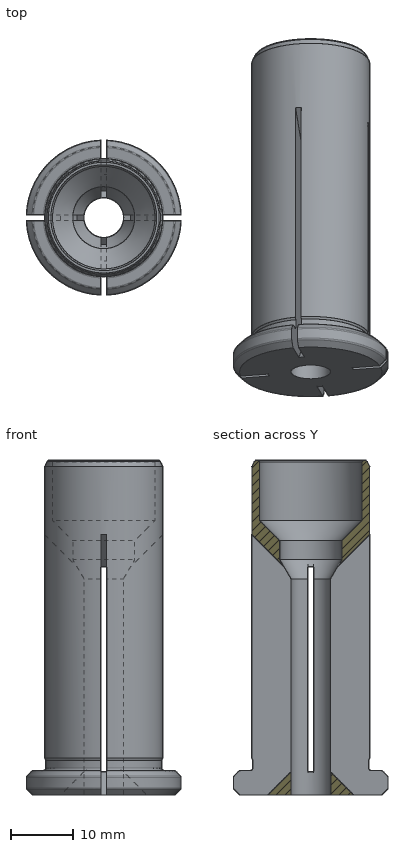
import cadquery as cq
import math

total_height = 54
sleeve_diameter = 19.05
flange_diameter = 25.0

flange_height = 4.0
flange_chamfer = 1.0
flange_edge_radius = 0.4

groove_depth = 0.15
groove_top = 5.6
groove_bevel_height = 0.4
groove_corner = 0.4

lead_height = 1.0
lead_inset = 0.4
rim_bevel = 0.2

bore_diameter = 16.5
bore_bottom = 44.3
bore_chamfer = 0.25
middle_diameter = 10.0
through_diameter = 6.35
upper_cone_angle = 90
lower_cone_angle = 60
lower_cone_top = 37.95

slot_count = 4
slot_width = 0.9
slot_top_at_sleeve = 42.0
slot_bottom_at_hole = 3.8

sleeve_radius = sleeve_diameter / 2
flange_radius = flange_diameter / 2
bore_radius = bore_diameter / 2
middle_radius = middle_diameter / 2
through_radius = through_diameter / 2


def make_body():
    """Flanged sleeve, revolved as a solid without its cavity."""
    groove_radius = sleeve_radius - groove_depth
    lead_radius = sleeve_radius - lead_inset
    arc_inset = groove_corner * (1 - math.sqrt(0.5))
    body = (
        cq.Workplane("XZ")
        .lineTo(flange_radius - flange_chamfer, 0)
        .lineTo(flange_radius, flange_chamfer)
        .lineTo(flange_radius, flange_height - flange_chamfer)
        .lineTo(flange_radius - flange_chamfer, flange_height)
        .lineTo(groove_radius + groove_corner, flange_height)
        .threePointArc(
            (groove_radius + arc_inset, flange_height + arc_inset),
            (groove_radius, flange_height + groove_corner),
        )
        .lineTo(groove_radius, groove_top)
        .lineTo(sleeve_radius, groove_top + groove_bevel_height)
        .lineTo(sleeve_radius, total_height - lead_height)
        .lineTo(lead_radius, total_height - rim_bevel)
        .lineTo(lead_radius - rim_bevel, total_height)
        .lineTo(0, total_height)
        .close()
        .revolve(360, (0, 0), (0, 1))
    )
    rounded_zone = cq.selectors.BoxSelector(
        (-flange_diameter, -flange_diameter, flange_chamfer / 2),
        (flange_diameter, flange_diameter, flange_height + groove_corner / 2),
        boundingbox=False,
    )
    flange_edges = [
        edge
        for edge in body.edges(rounded_zone).edges("%CIRCLE").vals()
        if edge.radius() > flange_radius - flange_chamfer - groove_corner
    ]
    return body.newObject(flange_edges).fillet(flange_edge_radius)


def cone_height(large_radius, small_radius, included_angle):
    """Height over which a cone narrows between two radii."""
    return (large_radius - small_radius) / math.tan(math.radians(included_angle / 2))


def make_cavity():
    """Stepped bore that narrows downwards through two cones."""
    upper_cone_bottom = bore_bottom - cone_height(bore_radius, middle_radius, upper_cone_angle)
    lower_cone_bottom = lower_cone_top - cone_height(middle_radius, through_radius, lower_cone_angle)
    outline = [
        (0, 0),
        (through_radius, 0),
        (through_radius, lower_cone_bottom),
        (middle_radius, lower_cone_top),
        (middle_radius, upper_cone_bottom),
        (bore_radius, bore_bottom),
        (bore_radius, total_height - bore_chamfer),
        (bore_radius + bore_chamfer, total_height),
        (0, total_height),
    ]
    return cq.Workplane("XZ").polyline(outline).close().revolve(360, (0, 0), (0, 1))


def make_slot_cutter():
    """Trapezoidal plate on the +X side, growing taller at 45 degrees away from the axis."""
    top_at_axis = slot_top_at_sleeve - sleeve_radius
    bottom_at_axis = slot_bottom_at_hole + through_radius
    outline = [
        (0, bottom_at_axis),
        (total_height, bottom_at_axis - total_height),
        (total_height, top_at_axis + total_height),
        (0, top_at_axis),
    ]
    return cq.Workplane("XZ").polyline(outline).close().extrude(slot_width / 2, both=True)


result = make_body().cut(make_cavity())
slot_cutter = make_slot_cutter()
for index in range(slot_count):
    result = result.cut(slot_cutter.rotate((0, 0, 0), (0, 0, 1), index * 360 / slot_count))